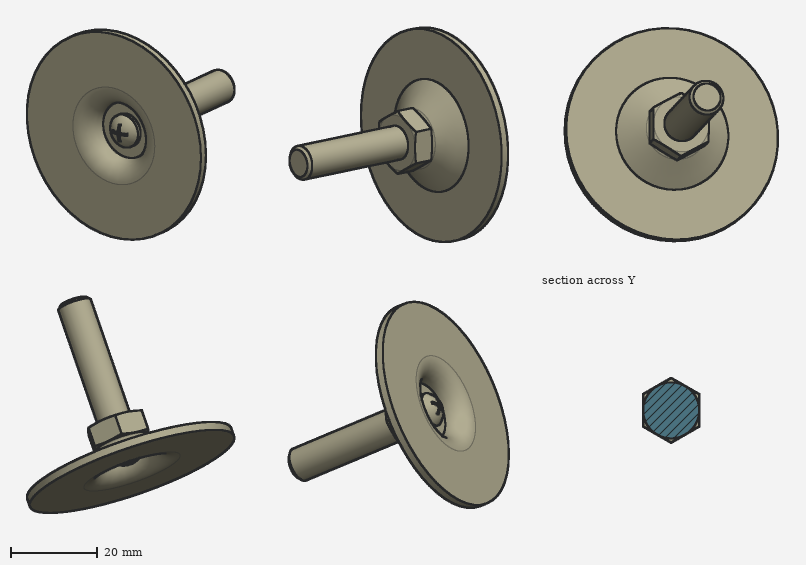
import cadquery as cq
import math

total_length = 42.5

plate_diameter = 50.0
plate_thickness = 2.0
cone_base_radius = 13.25
cone_top_radius = 7.1
cone_top_y = 6.85
neck_radius = 6.2

nut_start_y = 7.35
nut_height = 5.15
nut_across_flats = 13.0
nut_chamfer_angle = 15.0

stem_radius = 4.0
stem_chamfer = 0.8

recess_mouth_radius = 11.75
recess_depth = 5.0

head_rim_height = 1.0
head_height = 3.2
cross_length = 4.1
cross_width = 0.5
cross_depth = 1.0


def revolve_about_y(profile):
    return profile.close().revolve(360, (0, 0, 0), (0, 1, 0))


def make_foot():
    plate_radius = plate_diameter / 2
    floor_radius = recess_mouth_radius - recess_depth
    arc_offset = recess_depth * math.sqrt(0.5)
    arc_middle = (recess_mouth_radius - arc_offset, recess_depth - arc_offset)
    return revolve_about_y(
        cq.Workplane("XY")
        .moveTo(0, recess_depth)
        .lineTo(floor_radius, recess_depth)
        .threePointArc(arc_middle, (recess_mouth_radius, 0))
        .lineTo(plate_radius, 0)
        .lineTo(plate_radius, plate_thickness)
        .lineTo(cone_base_radius, plate_thickness)
        .lineTo(cone_top_radius, cone_top_y)
        .lineTo(neck_radius, nut_start_y)
        .lineTo(0, nut_start_y)
    )


def make_nut():
    corner_radius = nut_across_flats / math.sqrt(3)
    flat_radius = nut_across_flats / 2
    corner_drop = (corner_radius - flat_radius) * math.tan(math.radians(nut_chamfer_angle))
    nut_end_y = nut_start_y + nut_height
    corners = [
        (corner_radius * math.sin(math.radians(60 * i)), corner_radius * math.cos(math.radians(60 * i)))
        for i in range(6)
    ]
    hexagon = (
        cq.Workplane("XZ", origin=(0, nut_start_y, 0))
        .polyline(corners)
        .close()
        .extrude(-nut_height)
    )
    chamfer_envelope = revolve_about_y(
        cq.Workplane("XY")
        .moveTo(0, nut_start_y)
        .lineTo(flat_radius, nut_start_y)
        .lineTo(corner_radius, nut_start_y + corner_drop)
        .lineTo(corner_radius, nut_end_y - corner_drop)
        .lineTo(flat_radius, nut_end_y)
        .lineTo(0, nut_end_y)
    )
    return hexagon.intersect(chamfer_envelope)


def make_stem():
    length = total_length - nut_start_y
    return (
        cq.Workplane("XZ", origin=(0, nut_start_y, 0))
        .circle(stem_radius)
        .extrude(-length)
        .faces(">Y")
        .chamfer(stem_chamfer)
    )


def make_head():
    rim_y = recess_depth - head_rim_height
    tip_y = recess_depth - head_height
    dome_height = rim_y - tip_y
    dome_radius = (stem_radius**2 + dome_height**2) / (2 * dome_height)
    middle_radius = stem_radius / 2
    middle_y = tip_y + dome_radius - math.sqrt(dome_radius**2 - middle_radius**2)
    head = revolve_about_y(
        cq.Workplane("XY")
        .moveTo(0, recess_depth)
        .lineTo(stem_radius, recess_depth)
        .lineTo(stem_radius, rim_y)
        .threePointArc((middle_radius, middle_y), (0, tip_y))
    )
    slot_centre = (0, tip_y + cross_depth / 2, 0)
    for size_x, size_z in ((cross_length, cross_width), (cross_width, cross_length)):
        head = head.cut(cq.Workplane("XY").box(size_x, cross_depth, size_z).translate(slot_centre))
    return head


result = make_foot().union(make_nut()).union(make_stem()).union(make_head())